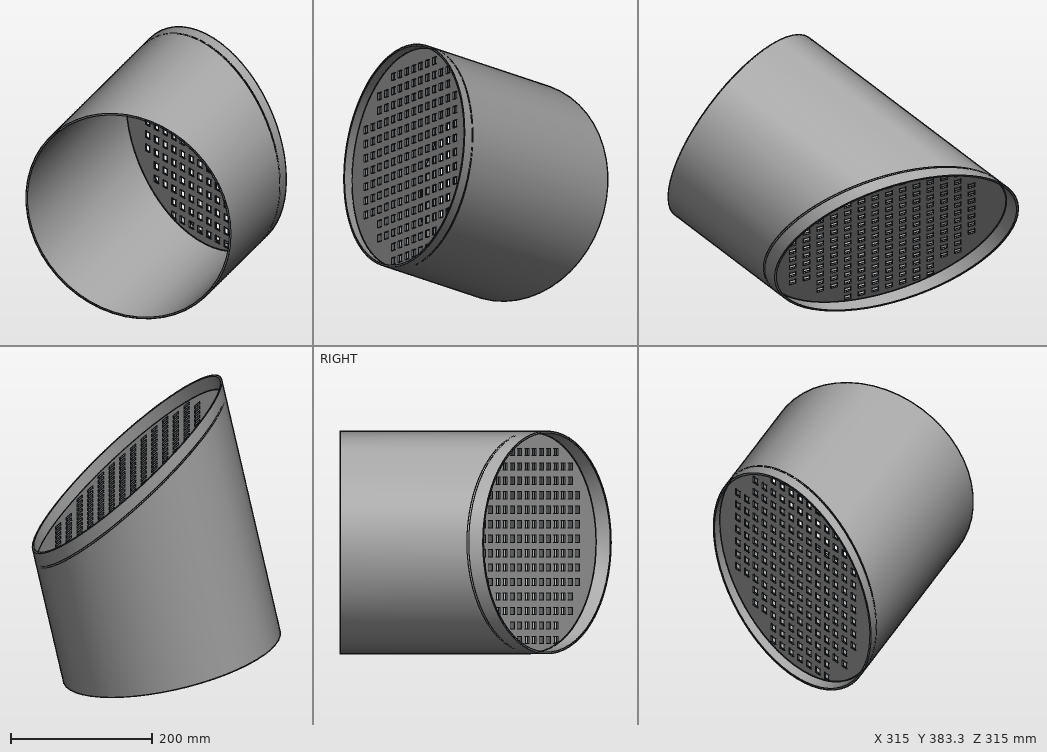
import cadquery as cq
import math

TUBE_DIAMETER = 315.0
BORE_DIAMETER = 310.0
TUBE_LENGTH = 383.3
SLANT_ANGLE = 30.0

GRATING_DIAMETER = 312.5
GRATING_THICKNESS = 2.3
GRATING_SETBACK = 17.5

HOLE_SIDE = 10.0
GRID_LINES = 14
GRID_SPAN = 266.5
GRID_OFFSET_ACROSS = 4.0
GRID_OFFSET_UP = -5.0
GRID_PITCH = GRID_SPAN / (GRID_LINES - 1)

SHORT_ROW = (3, 9)
MIDDLE_ROW = (1, 11)
FULL_ROW = (0, 13)
ROWS = [SHORT_ROW] + 2 * [MIDDLE_ROW] + 7 * [FULL_ROW] + 2 * [MIDDLE_ROW] + 2 * [SHORT_ROW]

SLANT = math.radians(SLANT_ANGLE)
SLANT_Y = TUBE_LENGTH - TUBE_DIAMETER / 2 * math.tan(SLANT)
GRATING_OUTER_Y = SLANT_Y - GRATING_SETBACK / math.cos(SLANT)
GRATING_INNER_Y = GRATING_OUTER_Y - GRATING_THICKNESS / math.cos(SLANT)


def slanted_plane(axis_y):
    """Plane parallel to the slanted end: local x down the slope, normal out of the slanted end."""
    normal = (math.sin(SLANT), math.cos(SLANT), 0)
    slope = (math.cos(SLANT), -math.sin(SLANT), 0)
    return cq.Plane(origin=(0, axis_y, 0), xDir=slope, normal=normal)


def round_bar(diameter):
    """Bar along the tube axis, from the square end to the full length."""
    return cq.Workplane("XZ").circle(diameter / 2).extrude(-TUBE_LENGTH)


def slab(axis_y, thickness):
    """Slanted slab, wider than the tube, rising from where it crosses the axis."""
    width = 2 * TUBE_LENGTH
    return cq.Workplane(slanted_plane(axis_y)).rect(width, width).extrude(thickness)


def grating_blank():
    """Grating without its holes; it also forms the groove that holds it."""
    return round_bar(GRATING_DIAMETER).intersect(slab(GRATING_INNER_Y, GRATING_THICKNESS))


def hole_centres():
    """Hole centres as (along the slope, down the rows) in the plane of the grating."""
    centres = []
    first_across = GRID_OFFSET_ACROSS - GRID_SPAN / 2
    first_down = -GRID_OFFSET_UP - GRID_SPAN / 2
    for row, (first_column, last_column) in enumerate(ROWS):
        for column in range(first_column, last_column + 1):
            centres.append((first_across + column * GRID_PITCH, first_down + row * GRID_PITCH))
    return centres


def make_tube():
    tube = round_bar(TUBE_DIAMETER).cut(round_bar(BORE_DIAMETER))
    tube = tube.cut(slab(SLANT_Y, TUBE_LENGTH))
    return tube.cut(grating_blank())


def make_grating():
    holes = (
        cq.Workplane(slanted_plane(GRATING_INNER_Y))
        .pushPoints(hole_centres())
        .rect(HOLE_SIDE, HOLE_SIDE)
        .extrude(GRATING_THICKNESS)
    )
    return grating_blank().cut(holes)


tube = make_tube()
grating = make_grating()

result = cq.Compound.makeCompound([tube.val(), grating.val()])